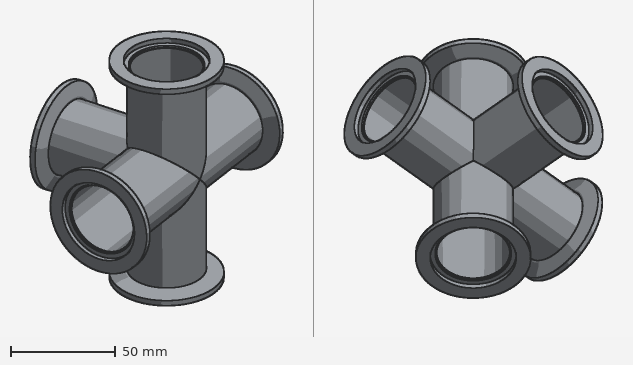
import cadquery as cq

arm_reach = 60.1
arm_directions = [
    cq.Vector(-1, 0, 0),
    cq.Vector(0, -1, 0),
    cq.Vector(0, 1, 0),
    cq.Vector(0, 0, -1),
    cq.Vector(0, 0, 1),
]

tube_outer_diameter = 38.1
tube_inner_diameter = 35.0

flange_diameter = 55.0
flange_thickness = 5.0
rim_thickness = 2.9
cone_end_diameter = 40.5
counterbore_diameter = 41.2
counterbore_depth = 2.5
bore_diameter = 36.4
socket_diameter = 38.3
tube_end_depth = 3.6

tube_length = arm_reach - tube_end_depth
cutter_size = 3 * arm_reach


def arm_workplane(direction, distance=0.0):
    """Workplane across an arm, facing outward, at a distance from the origin."""
    return cq.Workplane(cq.Plane(origin=(direction * distance).toTuple(), normal=direction.toTuple()))


def make_tube(direction):
    """Tube from the origin outward, mitred against every arm at right angles to it."""
    tube = (
        arm_workplane(direction)
        .circle(tube_outer_diameter / 2)
        .circle(tube_inner_diameter / 2)
        .extrude(tube_length)
    )
    for neighbour in arm_directions:
        if neighbour.dot(direction) == 0:
            mitre_normal = neighbour - direction
            neighbour_side = arm_workplane(mitre_normal).rect(cutter_size, cutter_size).extrude(cutter_size)
            tube = tube.cut(neighbour_side)
    return tube


def make_flange(direction):
    """Ring with a conical back, a stepped mouth and a socket for the tube end."""
    cone_end_radius = cone_end_diameter / 2
    flange_radius = flange_diameter / 2
    socket_radius = socket_diameter / 2
    bore_radius = bore_diameter / 2
    counterbore_radius = counterbore_diameter / 2
    rim_back = flange_thickness - rim_thickness
    shoulder = flange_thickness - tube_end_depth
    counterbore_floor = flange_thickness - counterbore_depth
    flange = (
        cq.Workplane("XZ")
        .moveTo(socket_radius, 0)
        .lineTo(cone_end_radius, 0)
        .lineTo(flange_radius, rim_back)
        .lineTo(flange_radius, flange_thickness)
        .lineTo(counterbore_radius, flange_thickness)
        .lineTo(counterbore_radius, counterbore_floor)
        .lineTo(bore_radius, counterbore_floor)
        .lineTo(bore_radius, shoulder)
        .lineTo(socket_radius, shoulder)
        .close()
        .revolve(360, (0, 0, 0), (0, 1, 0))
    )
    flange_back = arm_workplane(direction, arm_reach - flange_thickness)
    return cq.Workplane(flange.val().moved(cq.Location(flange_back.plane)))


tubes = [make_tube(direction).val() for direction in arm_directions]
flanges = [make_flange(direction).val() for direction in arm_directions]

result = cq.Compound.makeCompound([*tubes, *flanges])